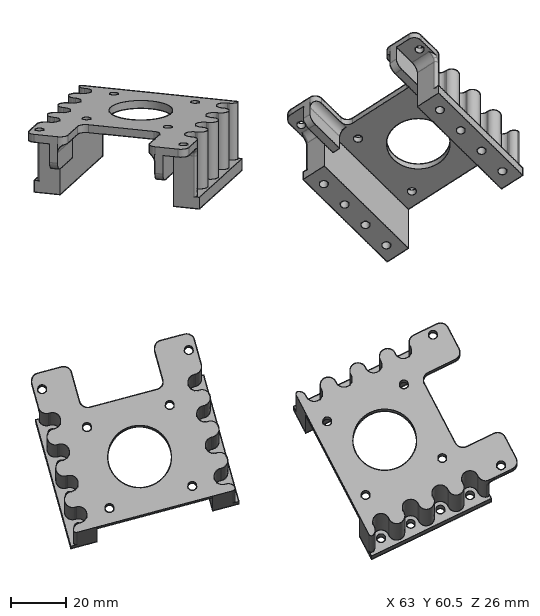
import cadquery as cq

width = 63.0
depth = 60.5
height = 26.0
back_y = depth / 2
front_y = -back_y

plate_thickness = 3.0
plate_half_width = width / 2 - 1.0
plate_underside = height - plate_thickness
corner_radius = 3.0
slot_width = 31.1
slot_edge_y = back_y - 43.4

base_height = 4.5
base_length = 48.45
pillar_thickness = 9.9
pillar_inner_x = width / 2 - pillar_thickness
pillar_front_y = back_y - base_length
edge_radius = 1.0

groove_count = 4
groove_span = 36.0
groove_pitch = groove_span / (groove_count - 1)
groove_radius = 3.0
lobe_radius = groove_pitch / 2 - groove_radius
first_groove_y = back_y - 6.1
groove_x = width / 2 - 4.55
lobe_x = plate_half_width - lobe_radius

rib_thickness = 3.1
rib_inner_x = pillar_inner_x - rib_thickness
rib_bottom = height - 13.1

screw_diameter = 3.2
bore_diameter = 23.0
motor_y = back_y - 21.1
motor_hole_spacing = 31.0
tab_hole_x = width / 2 - 4.05
tab_hole_y = back_y - 54.4

groove_ys = [first_groove_y - i * groove_pitch for i in range(groove_count)]


def box(x_range, y_range, z_range):
    """Box spanning the given coordinate ranges."""
    lengths = [high - low for low, high in (x_range, y_range, z_range)]
    corner = (x_range[0], y_range[0], z_range[0])
    return cq.Workplane("XY").box(*lengths, centered=False).translate(corner)


def wavy_half():
    """Right half of the plan outline: lobes and grooves run along its outer side."""
    back_lobe_y = first_groove_y + groove_pitch / 2
    back_lobe_rise = back_y - back_lobe_y
    back_x = lobe_x + (lobe_radius**2 - back_lobe_rise**2) ** 0.5
    sketch = (
        cq.Workplane("XY")
        .moveTo(0, back_y)
        .lineTo(back_x, back_y)
        .threePointArc(
            (lobe_x + lobe_radius * 0.5**0.5, back_lobe_y - lobe_radius * 0.5**0.5),
            (lobe_x, back_lobe_y - lobe_radius),
        )
    )
    for groove_y in groove_ys:
        lobe_y = groove_y - groove_pitch / 2
        sketch = (
            sketch.lineTo(groove_x, groove_y + groove_radius)
            .threePointArc((groove_x - groove_radius, groove_y), (groove_x, groove_y - groove_radius))
            .lineTo(lobe_x, lobe_y + lobe_radius)
        )
        if groove_y != groove_ys[-1]:
            sketch = sketch.threePointArc((plate_half_width, lobe_y), (lobe_x, lobe_y - lobe_radius))
        else:
            sketch = sketch.threePointArc(
                (lobe_x + lobe_radius * 0.5**0.5, lobe_y + lobe_radius * 0.5**0.5),
                (plate_half_width, lobe_y),
            )
    return sketch.lineTo(plate_half_width, front_y).lineTo(0, front_y).close()


def wavy_block(thickness):
    """Wavy half outline raised from Z = 0, with its back outer corner rounded."""
    return wavy_half().extrude(thickness).edges("|Z").edges(">Y").edges(">X").fillet(edge_radius)


def half_plate():
    plate = wavy_block(plate_thickness).translate((0, 0, plate_underside))
    slot = box((-slot_width, slot_width / 2), (front_y - 0.6, slot_edge_y), (0, height + 0.6))
    slot = slot.edges("|Z and >X and >Y").fillet(corner_radius)
    return plate.cut(slot).edges("|Z and <Y").fillet(corner_radius)


def pillar():
    """Wavy wall that flares into the tab underside, on a straight flange."""
    profile = (
        cq.Workplane("YZ")
        .moveTo(back_y, 0)
        .lineTo(pillar_front_y, 0)
        .lineTo(pillar_front_y, plate_underside - corner_radius)
        .radiusArc((pillar_front_y - corner_radius, plate_underside), -corner_radius)
        .lineTo(back_y, plate_underside)
        .close()
        .extrude(pillar_thickness)
        .translate((pillar_inner_x, 0, 0))
    )
    wall = wavy_block(plate_underside).intersect(profile)
    outer_corner = cq.selectors.NearestToPointSelector(
        (plate_half_width, pillar_front_y, (plate_underside - corner_radius) / 2)
    )
    wall = wall.edges(outer_corner).fillet(edge_radius)
    flange = box((pillar_inner_x, width / 2), (pillar_front_y, back_y), (0, base_height))
    return wall.union(flange)


def tab_rib():
    rib = box((rib_inner_x, pillar_inner_x), (front_y, slot_edge_y), (rib_bottom, plate_underside))
    rib = rib.edges("|X and <Y and <Z").fillet(corner_radius)
    root_fillet = (
        cq.Workplane("XZ")
        .moveTo(rib_inner_x, plate_underside)
        .lineTo(rib_inner_x - corner_radius, plate_underside)
        .radiusArc((rib_inner_x, plate_underside - corner_radius), corner_radius)
        .close()
        .extrude(slot_edge_y - front_y)
        .translate((0, slot_edge_y, 0))
    )
    tab_plan = half_plate().translate((0, 0, -plate_thickness))
    return rib.union(root_fillet.intersect(tab_plan))


half = half_plate().union(pillar()).union(tab_rib())
body = half.union(half.mirror("YZ"))

side_holes = [(side * groove_x, y) for side in (-1, 1) for y in groove_ys]
tab_holes = [(side * tab_hole_x, tab_hole_y) for side in (-1, 1)]
screws = cq.Workplane("XY").pushPoints(side_holes + tab_holes).circle(screw_diameter / 2).extrude(height)
motor_screws = (
    cq.Workplane("XY")
    .center(0, motor_y)
    .rect(motor_hole_spacing, motor_hole_spacing, forConstruction=True)
    .vertices()
    .circle(screw_diameter / 2)
    .extrude(height)
)
bore = cq.Workplane("XY").center(0, motor_y).circle(bore_diameter / 2).extrude(height)

result = body.cut(screws).cut(motor_screws).cut(bore)